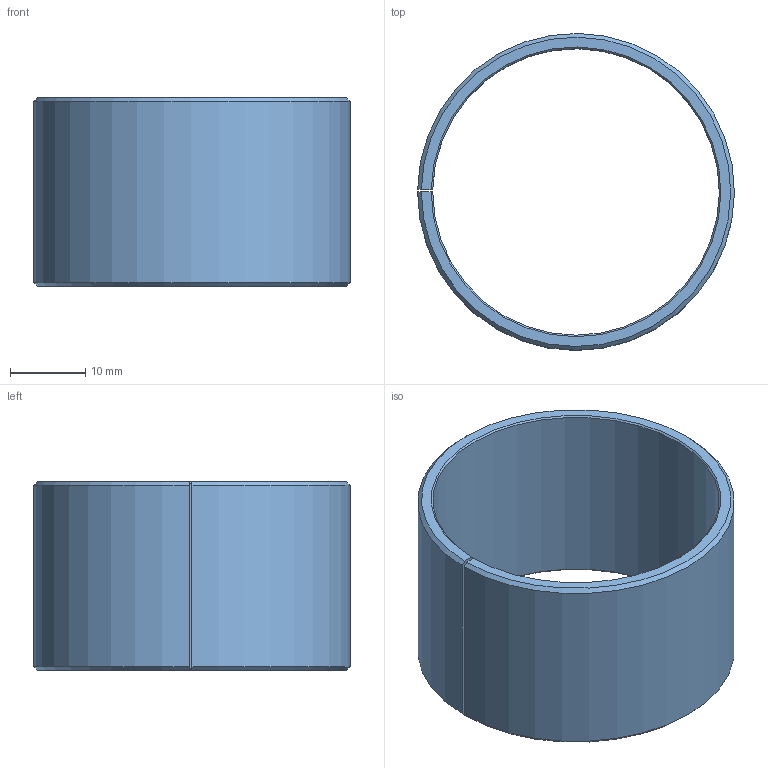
import cadquery as cq

outer_diameter = 42.0
wall_thickness = 2.0
length = 25.0
outer_chamfer = 0.5
inner_chamfer = 0.2
slit_angle = 1.0

outer_radius = outer_diameter / 2
inner_radius = outer_radius - wall_thickness


def make_wall_profile():
    """Wall section in the XZ plane on the -X side, chamfered at all four corners."""
    return (
        cq.Workplane("XZ")
        .moveTo(-inner_radius - inner_chamfer, 0)
        .lineTo(-outer_radius + outer_chamfer, 0)
        .lineTo(-outer_radius, outer_chamfer)
        .lineTo(-outer_radius, length - outer_chamfer)
        .lineTo(-outer_radius + outer_chamfer, length)
        .lineTo(-inner_radius - inner_chamfer, length)
        .lineTo(-inner_radius, length - inner_chamfer)
        .lineTo(-inner_radius, inner_chamfer)
        .close()
    )


def make_split_sleeve():
    """Sweep the wall around Z, stopping short of a full turn to leave the slit.

    The sweep starts at Y = 0 and runs through -Y, so the slit lies on the +Y side of the XZ plane.
    """
    axis_start = (0, 0, 0)
    axis_end = (0, 1, 0)
    return make_wall_profile().revolve(360 - slit_angle, axis_start, axis_end)


result = make_split_sleeve()